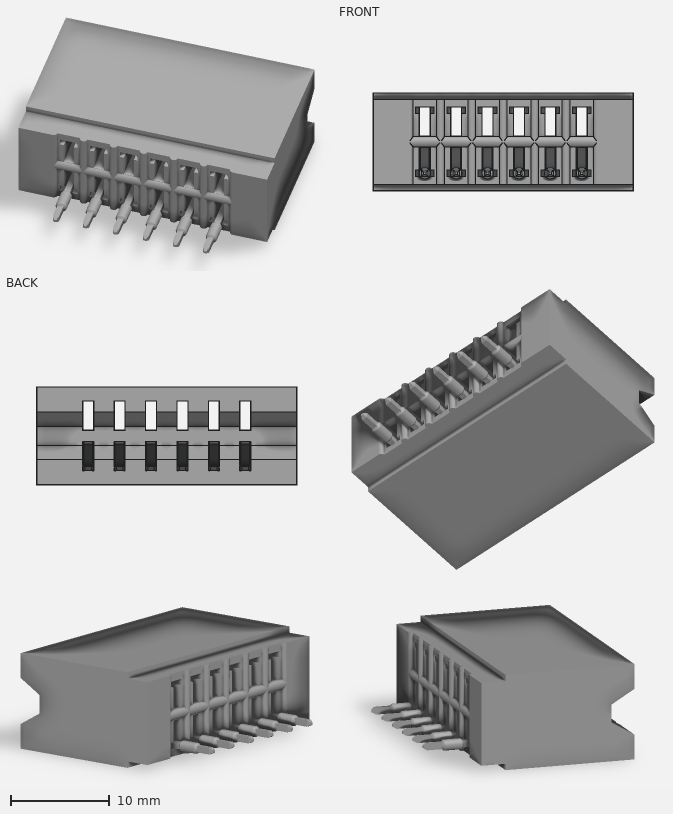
import cadquery as cq
import math


HOUSING_LENGTH = 26.3
HOUSING_DEPTH = 16.38
HOUSING_HEIGHT = 9.9
STEP_DEPTH = 2.58
STEP_HEIGHT = 0.65
TAIL_FACE_HEIGHT = HOUSING_HEIGHT - 2 * STEP_HEIGHT

NOTCH_DEPTH = 2.47
NOTCH_MOUTH = 4.78
NOTCH_FLOOR = 1.9

CONTACT_COUNT = 6
RECESS_LENGTH = 19.03
PITCH = RECESS_LENGTH / CONTACT_COUNT
CONTACT_XS = [(i - (CONTACT_COUNT - 1) / 2) * PITCH for i in range(CONTACT_COUNT)]

RECESS_DEPTH = 0.37
RIB_RADIUS = 0.4

TAIL_WIDTH = 0.63
TAIL_HEIGHT = 0.65
TAIL_Z = -3.18
TAIL_LENGTH = 4.45
TIP_LENGTH = 0.37
TIP_SIZE = 0.25
TAIL_TOP = TAIL_Z + TAIL_HEIGHT / 2

SLOT_WIDTH = 1.08
SLOT_INNER_Z = 0.58
BAR_RADIUS = SLOT_INNER_Z
SLOT_OUTER_Z = TAIL_HEIGHT / 2 - TAIL_Z
POCKET_WIDTH = 1.9
POCKET_DEPTH = 0.8

COLLAR_WIDTH = 1.15
COLLAR_HEIGHT = 1.1
COLLAR_CORNER_RADIUS = 0.53
COLLAR_START = 0.1
COLLAR_LENGTH = 2.5
COLLAR_CHAMFER = 0.32
COLLAR_SHOULDER_RADIUS = 0.13

SPRING_WIDTH = 0.95
SPRING_THICKNESS = 0.25
SHANK_LENGTH = 2.63
CLIMB_ANGLE = math.radians(45)
CLIMB_START_Z = -2.18
CLIMB_END_Z = -0.95
BEND_RADIUS = (CLIMB_START_Z - TAIL_TOP) / (1 - math.cos(CLIMB_ANGLE))


def block(x_size, y_start, y_end, z_start, z_end, x_center=0.0):
    """Box centred on x_center between the given Y and Z limits."""
    size = (x_size, y_end - y_start, z_end - z_start)
    solid = cq.Workplane("XY").box(*size, centered=(True, False, False))
    return solid.translate((x_center, y_start, z_start))


def housing_block():
    """Block stepped in at the tail face and notched at the mating end."""
    half = HOUSING_HEIGHT / 2
    half_face = TAIL_FACE_HEIGHT / 2
    notch_y = HOUSING_DEPTH - NOTCH_DEPTH
    upper_half = [
        (0, half_face),
        (STEP_DEPTH, half_face),
        (STEP_DEPTH, half),
        (HOUSING_DEPTH, half),
        (HOUSING_DEPTH, NOTCH_MOUTH / 2),
        (notch_y, NOTCH_FLOOR / 2),
    ]
    lower_half = [(y, -z) for y, z in reversed(upper_half)]
    outline = cq.Workplane("YZ").polyline(upper_half + lower_half).close()
    return outline.extrude(HOUSING_LENGTH / 2, both=True)


def add_ribs(body):
    """Upright ribs between the contact places, half round where they stand out of the recess floor."""
    rib = cq.Workplane("XY").center(0, RIB_RADIUS).circle(RIB_RADIUS).extrude(TAIL_FACE_HEIGHT / 2, both=True)
    for i in range(CONTACT_COUNT + 1):
        body = body.union(rib.translate((i * PITCH - RECESS_LENGTH / 2, 0, 0)))
    return body


def add_bar(body):
    """Round bar along the row that forms the front edge of the webs between the slots."""
    bar = cq.Workplane("YZ").center(BAR_RADIUS, 0).circle(BAR_RADIUS).extrude(RECESS_LENGTH / 2, both=True)
    return body.union(bar)


def upper_slot(x):
    """Through slot with a wider blind pocket at its outer end."""
    slot = block(SLOT_WIDTH, RECESS_DEPTH, HOUSING_DEPTH, SLOT_INNER_Z, SLOT_OUTER_Z, x)
    pocket_end = RECESS_DEPTH + POCKET_DEPTH
    pocket = block(POCKET_WIDTH, RECESS_DEPTH, pocket_end, SLOT_OUTER_Z - TAIL_HEIGHT, SLOT_OUTER_Z, x)
    return slot.union(pocket)


def make_housing():
    half_face = TAIL_FACE_HEIGHT / 2
    body = housing_block().cut(block(RECESS_LENGTH, 0, RECESS_DEPTH, -half_face, half_face))
    for x in CONTACT_XS:
        slot = upper_slot(x)
        body = body.cut(slot).cut(slot.mirror("XY"))
    return add_bar(add_ribs(body))


def tail():
    """Straight tail with a pointed tip, running from inside the slot out past the tail face."""
    tip_start = TIP_LENGTH - TAIL_LENGTH
    bar = block(TAIL_WIDTH, tip_start, SHANK_LENGTH, TAIL_TOP - TAIL_HEIGHT, TAIL_TOP)
    tip = (
        cq.Workplane("XZ", origin=(0, tip_start, TAIL_Z))
        .rect(TAIL_WIDTH, TAIL_HEIGHT)
        .workplane(offset=TIP_LENGTH)
        .rect(TIP_SIZE, TIP_SIZE)
        .loft(combine=True)
    )
    return bar.union(tip)


def collar():
    """Nearly round collar with chamfered ends."""
    collar_end = -COLLAR_START - COLLAR_LENGTH
    shoulders = cq.selectors.BoxSelector(
        (-COLLAR_WIDTH, collar_end + COLLAR_CHAMFER / 2, TAIL_Z - COLLAR_HEIGHT),
        (COLLAR_WIDTH, -COLLAR_START - COLLAR_CHAMFER / 2, TAIL_Z + COLLAR_HEIGHT),
    )
    return (
        cq.Workplane("XZ", origin=(0, -COLLAR_START, TAIL_Z))
        .rect(COLLAR_WIDTH, COLLAR_HEIGHT)
        .extrude(COLLAR_LENGTH)
        .edges("|Y")
        .fillet(COLLAR_CORNER_RADIUS)
        .faces("<Y or >Y")
        .chamfer(COLLAR_CHAMFER)
        .edges(shoulders)
        .edges("not |Y")
        .fillet(COLLAR_SHOULDER_RADIUS)
    )


def spring():
    """Bent strip that climbs from the tail to the inner edge of the lower slot."""
    climb_run = (CLIMB_END_Z - CLIMB_START_Z) / math.tan(CLIMB_ANGLE)
    bend_run = BEND_RADIUS * math.sin(CLIMB_ANGLE)
    lower_center_z = TAIL_TOP + BEND_RADIUS
    upper_center_y = SHANK_LENGTH + 2 * bend_run + climb_run
    upper_center_z = CLIMB_END_Z - BEND_RADIUS * math.cos(CLIMB_ANGLE)
    end_angle = math.acos((-SLOT_INNER_Z - upper_center_z) / BEND_RADIUS)

    def lower_bend(slope, depth):
        """Point of the first bend at the given slope and depth below the upper surface."""
        radius = BEND_RADIUS + depth
        return (SHANK_LENGTH + radius * math.sin(slope), lower_center_z - radius * math.cos(slope))

    def upper_bend(slope, depth):
        """Point of the second bend at the given slope and depth below the upper surface."""
        radius = BEND_RADIUS - depth
        return (upper_center_y - radius * math.sin(slope), upper_center_z + radius * math.cos(slope))

    middle_of_end = (CLIMB_ANGLE + end_angle) / 2
    strip = (
        cq.Workplane("YZ")
        .moveTo(*lower_bend(0, 0))
        .threePointArc(lower_bend(CLIMB_ANGLE / 2, 0), lower_bend(CLIMB_ANGLE, 0))
        .lineTo(*upper_bend(CLIMB_ANGLE, 0))
        .threePointArc(upper_bend(middle_of_end, 0), upper_bend(end_angle, 0))
        .lineTo(*upper_bend(end_angle, SPRING_THICKNESS))
        .threePointArc(upper_bend(middle_of_end, SPRING_THICKNESS), upper_bend(CLIMB_ANGLE, SPRING_THICKNESS))
        .lineTo(*lower_bend(CLIMB_ANGLE, SPRING_THICKNESS))
        .threePointArc(lower_bend(CLIMB_ANGLE / 2, SPRING_THICKNESS), lower_bend(0, SPRING_THICKNESS))
        .close()
    )
    return strip.extrude(SPRING_WIDTH / 2, both=True)


def make_contact():
    return tail().union(collar()).union(spring())


housing = make_housing()
contact = make_contact()
contacts = [contact.translate((x, 0, 0)) for x in CONTACT_XS]

result = cq.Compound.makeCompound([housing.val(), *[c.val() for c in contacts]])